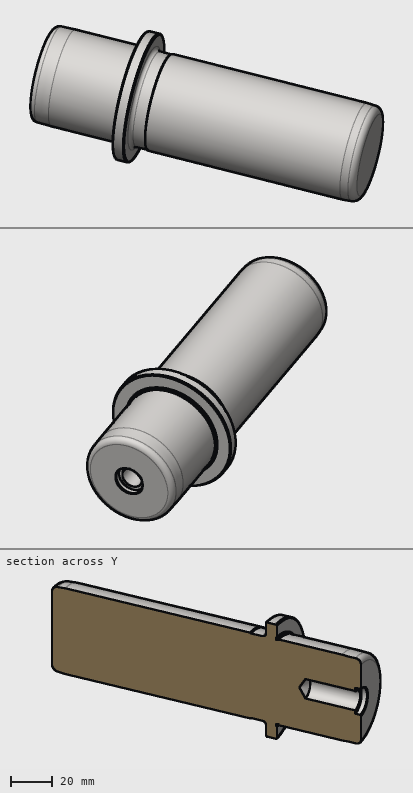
import cadquery as cq
import math

length = 165.0
body_radius = 24.1
flange_radius = 32.0
flange_start = 44.9
flange_end = 50.8
flange_chamfer = 0.5

spigot_round = 3.0
lead_end = 10.0
lead_radius = 24.0
undercut_start = 43.9
undercut_radius = 23.6
undercut_face_depth = 0.3
undercut_face_radius = 24.9

neck_radius = 23.8
neck_end = 59.0
neck_fillet = 2.0
neck_step_chamfer = 0.3
taper_start = 157.5
taper_end = 161.5
taper_radius = 23.8
end_round = length - taper_end

hole_radius = 5.3
hole_depth = 29.7
drill_tip_angle = 118.0
counterbore_radius = 7.1
counterbore_depth = 3.1
mouth_radius = 7.5
mouth_chamfer = mouth_radius - counterbore_radius


def round_middle(centre_x, centre_r, radius, angle):
    """Point on an arc of the profile, at an angle in degrees from +X."""
    turn = math.radians(angle)
    return centre_x + radius * math.cos(turn), centre_r + radius * math.sin(turn)


def revolve_about_x(profile):
    return profile.close().revolve(360, (0, 0, 0), (1, 0, 0))


def make_body():
    spigot_face_radius = lead_radius - spigot_round
    shank_face_radius = taper_radius - end_round
    spigot_mid = round_middle(spigot_round, spigot_face_radius, spigot_round, 135)
    fillet_mid = round_middle(flange_end + neck_fillet, neck_radius + neck_fillet, neck_fillet, 225)
    shank_mid = round_middle(taper_end, shank_face_radius, end_round, 45)
    undercut_end = flange_start + undercut_face_depth
    profile = (
        cq.Workplane("XY")
        .lineTo(0, spigot_face_radius)
        .threePointArc(spigot_mid, (spigot_round, lead_radius))
        .lineTo(lead_end, body_radius)
        .lineTo(undercut_start, body_radius)
        .lineTo(undercut_start + body_radius - undercut_radius, undercut_radius)
        .lineTo(undercut_end, undercut_radius)
        .lineTo(undercut_end, undercut_face_radius - undercut_face_depth)
        .lineTo(flange_start, undercut_face_radius)
        .lineTo(flange_start, flange_radius - flange_chamfer)
        .lineTo(flange_start + flange_chamfer, flange_radius)
        .lineTo(flange_end - flange_chamfer, flange_radius)
        .lineTo(flange_end, flange_radius - flange_chamfer)
        .lineTo(flange_end, neck_radius + neck_fillet)
        .threePointArc(fillet_mid, (flange_end + neck_fillet, neck_radius))
        .lineTo(neck_end - neck_step_chamfer, neck_radius)
        .lineTo(neck_end, body_radius)
        .lineTo(taper_start, body_radius)
        .lineTo(taper_end, taper_radius)
        .threePointArc(shank_mid, (length, shank_face_radius))
        .lineTo(length, 0)
    )
    return revolve_about_x(profile)


def make_centre_hole():
    tip_length = hole_radius / math.tan(math.radians(drill_tip_angle / 2))
    profile = (
        cq.Workplane("XY")
        .lineTo(0, mouth_radius)
        .lineTo(mouth_chamfer, counterbore_radius)
        .lineTo(counterbore_depth, counterbore_radius)
        .lineTo(counterbore_depth, hole_radius)
        .lineTo(hole_depth, hole_radius)
        .lineTo(hole_depth + tip_length, 0)
    )
    return revolve_about_x(profile)


result = make_body().cut(make_centre_hole())